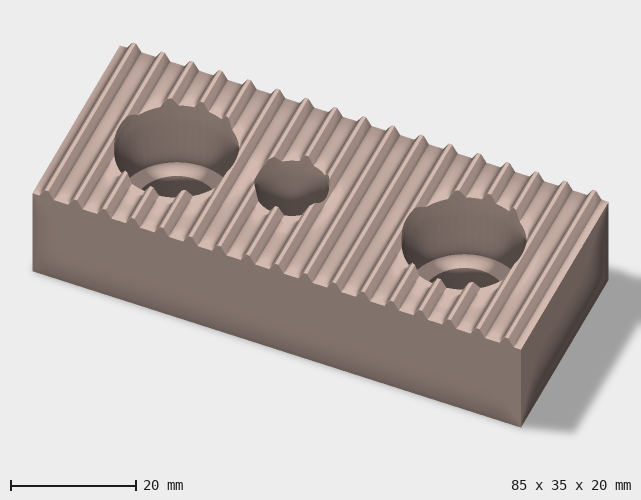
import cadquery as cq
import math

length = 85.0
width = 35.0
height = 20.0

tooth_pitch = 5.0
tooth_count = int(length / tooth_pitch)
tooth_base = tooth_pitch / 2
tooth_height = tooth_pitch / 3
tooth_flank_angle = 30.0
tooth_tip = tooth_base - 2 * tooth_height * math.tan(math.radians(tooth_flank_angle))
root_height = height - tooth_height

bolt_hole_positions = (17.5, 67.5)
bolt_hole_diameter = 14.0
counterbore_diameter = 20.0
counterbore_depth = 15.0
plain_hole_position = 37.5
plain_hole_diameter = 12.0


def serrated_block():
    """Block with one tooth centred in each pitch of its top face."""
    profile = cq.Workplane("XZ").lineTo(length, 0).lineTo(length, root_height)
    for index in reversed(range(tooth_count)):
        centre = (index + 0.5) * tooth_pitch
        profile = (
            profile.lineTo(centre + tooth_base / 2, root_height)
            .lineTo(centre + tooth_tip / 2, height)
            .lineTo(centre - tooth_tip / 2, height)
            .lineTo(centre - tooth_base / 2, root_height)
        )
    return profile.lineTo(0, root_height).close().extrude(-width)


def vertical_cylinder(x, diameter, bottom):
    """Cutting cylinder on the centreline, from bottom up to the tooth tips."""
    return (
        cq.Workplane("XY", origin=(x, width / 2, bottom))
        .circle(diameter / 2)
        .extrude(height - bottom)
    )


def counterbored_hole(x):
    """Through hole with a flat-bottomed seat opening in the serrated face."""
    through = vertical_cylinder(x, bolt_hole_diameter, 0)
    seat = vertical_cylinder(x, counterbore_diameter, height - counterbore_depth)
    return through.union(seat)


result = serrated_block()
for bolt_x in bolt_hole_positions:
    result = result.cut(counterbored_hole(bolt_x))
result = result.cut(vertical_cylinder(plain_hole_position, plain_hole_diameter, 0))